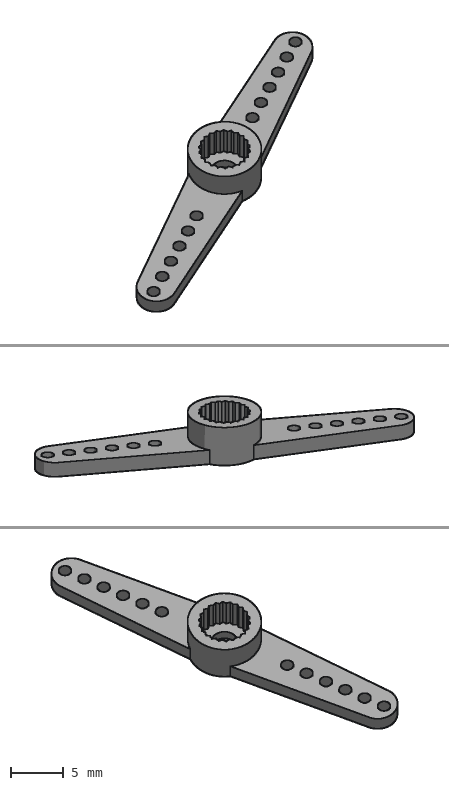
import cadquery as cq
import math

hub_diameter = 7.0
hub_height = 4.0
screw_hole_diameter = 2.5

spline_tooth_count = 22
spline_root_radius = 2.45
spline_tip_radius = 2.25
socket_floor_thickness = 1.0

overall_length = 37.0
arm_thickness = 1.5
arm_end_radius = 1.9
arm_center_half_width = 2.875

linkage_hole_diameter = 1.2
linkage_hole_count = 6
linkage_hole_pitch = 2.1
first_linkage_hole_y = 6.8


def polar_point(radius, angle):
    return (radius * math.cos(angle), radius * math.sin(angle))


def make_hub():
    return cq.Workplane("XY").circle(hub_diameter / 2).extrude(hub_height)


def make_arms():
    """Plate that is widest at the hub and narrows to a semicircle at each end."""
    end_y = overall_length / 2
    end_center_y = end_y - arm_end_radius
    return (
        cq.Workplane("XY")
        .moveTo(arm_center_half_width, 0)
        .lineTo(arm_end_radius, end_center_y)
        .threePointArc((0, end_y), (-arm_end_radius, end_center_y))
        .lineTo(-arm_center_half_width, 0)
        .lineTo(-arm_end_radius, -end_center_y)
        .threePointArc((0, -end_y), (arm_end_radius, -end_center_y))
        .close()
        .extrude(arm_thickness)
    )


def make_spline_socket():
    """Toothed blind socket; one groove points along +X."""
    tooth_angle = 2 * math.pi / spline_tooth_count
    outline = []
    for tooth in range(spline_tooth_count):
        groove_angle = tooth * tooth_angle
        outline.append(polar_point(spline_root_radius, groove_angle))
        outline.append(polar_point(spline_tip_radius, groove_angle + tooth_angle / 2))
    return (
        cq.Workplane("XY", origin=(0, 0, socket_floor_thickness))
        .polyline(outline)
        .close()
        .extrude(hub_height - socket_floor_thickness)
    )


def make_screw_hole():
    return cq.Workplane("XY").circle(screw_hole_diameter / 2).extrude(hub_height)


def make_linkage_holes():
    centers = []
    for side in (-1, 1):
        for index in range(linkage_hole_count):
            centers.append((0, side * (first_linkage_hole_y + index * linkage_hole_pitch)))
    return (
        cq.Workplane("XY")
        .pushPoints(centers)
        .circle(linkage_hole_diameter / 2)
        .extrude(arm_thickness)
    )


body = make_hub().union(make_arms())
result = body.cut(make_spline_socket()).cut(make_screw_hole()).cut(make_linkage_holes())